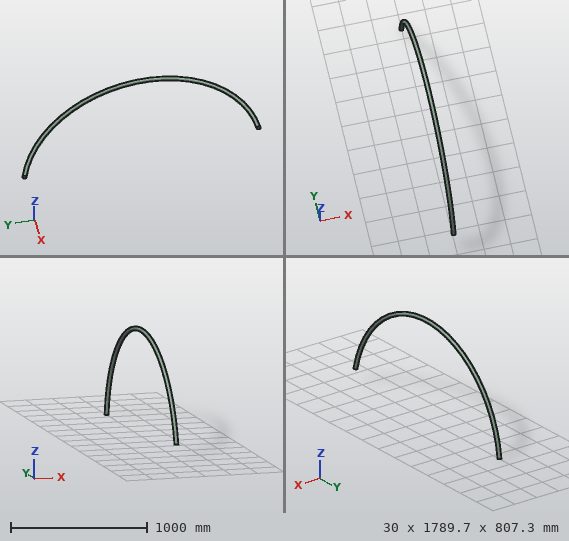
import cadquery as cq

rod_diameter = 30.0
bend_radius = 895.0
low_end_angle = 6.7
high_end_angle = 13.2

sweep_angle = 180 - low_end_angle - high_end_angle


def bent_rod():
    """Round rod along an arc, with both ends cut square to its centreline."""
    upright_arc = (
        cq.Workplane("XY")
        .center(0, bend_radius)
        .circle(rod_diameter / 2)
        .revolve(sweep_angle, (0, -bend_radius, 0), (1, -bend_radius, 0))
    )
    return upright_arc.rotate((0, 0, 0), (1, 0, 0), low_end_angle)


result = bent_rod()